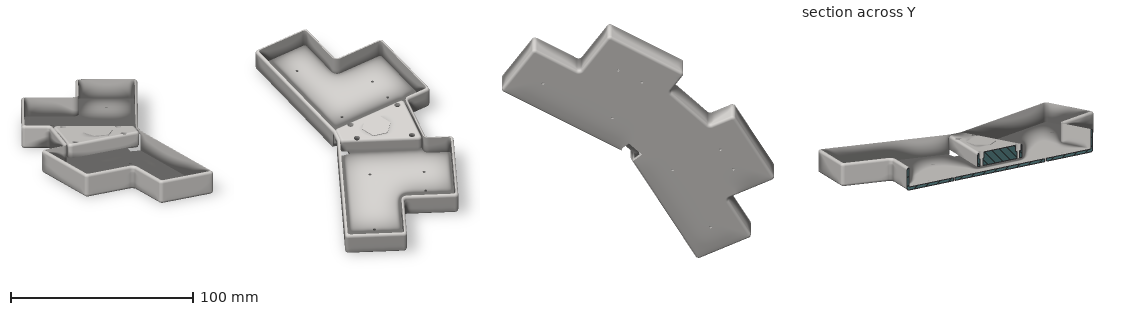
import cadquery as cq
import math

OVERALL_LENGTH = 176.3

WING_ANGLE = 15.0
TRAY_HEIGHT = 13.0
WALL = 1.5
FLOOR = 2.0
EDGE_ROUND = 1.48
CORNER_ROUND = 2.0
CAVITY_CORNER_ROUND = 1.5

WING_STEP = -57.8
WING_NEAR_END = -8.6
WING_BACK = 19.0
WING_SHELF = -15.0
WING_FRONT = -45.0

CENTRE_BACK = 20.6
CENTRE_FRONT = -26.6

FLOOR_HOLE_DIAMETER = 1.6
FLOOR_HOLES = [(-70.9, 2.0), (-25.9, 2.0), (-40.9, -27.9), (-25.5, -27.9)]

OPENING_WIDTH = 10.5
OPENING_TOP = 11.1
OPENING_REACH = 5.3

LID_BACK_GAP = 0.09
LID_FRONT_GAP = 0.7
LID_DEPTH = 8.0
LID_SCREW_DIAMETER = 1.6
LID_HEAD_DIAMETER = 3.3
LID_HEAD_DEPTH = 3.5
LID_BACK_SCREW = (5.6, 9.9)
LID_FRONT_SCREW = (12.9, -19.5)

BADGE_SIDES = 6
BADGE_FLATS = 14.3
BADGE_HEIGHT = 0.48
BADGE_Y = -3.2

MATCH_TOLERANCE = 0.02

COS = math.cos(math.radians(WING_ANGLE))
SIN = math.sin(math.radians(WING_ANGLE))

WING_FAR_END = -(OVERALL_LENGTH / 2 + WING_SHELF * SIN + CORNER_ROUND * (COS + SIN - 1)) / COS


def wing_point(along, across):
    """Left-wing coordinates turned into X, Y."""
    return (along * COS + across * SIN, across * COS - along * SIN)


def on_wing_end(along, y):
    """Point at the given Y on the line where the wing coordinate "along" is constant."""
    return ((along + y * SIN) / COS, y)


def on_wing_back(across, y):
    """Point at the given Y on the line where the wing coordinate "across" is constant."""
    return ((across - y * COS) / SIN, y)


def with_mirror(points):
    """Left-hand points followed by their mirror images, as one closed outline."""
    return points + [(-x, y) for x, y in reversed(points)]


def tray_outline(inset):
    """Tray plan with sharp corners, every side moved inwards by inset."""
    left = [
        on_wing_back(WING_BACK - inset, CENTRE_BACK - inset),
        wing_point(WING_FAR_END + inset, WING_BACK - inset),
        wing_point(WING_FAR_END + inset, WING_SHELF + inset),
        wing_point(WING_STEP + inset, WING_SHELF + inset),
        wing_point(WING_STEP + inset, WING_FRONT + inset),
        wing_point(WING_NEAR_END - inset, WING_FRONT + inset),
        on_wing_end(WING_NEAR_END - inset, CENTRE_FRONT + inset),
    ]
    return with_mirror(left)


def convex_points(inset):
    """Outward corners of the left half of the tray plan."""
    corners = tray_outline(inset)
    return [corners[1], corners[2], corners[4], corners[5]]


def elbow_points(inset):
    """Re-entrant corners of the left half of the tray plan."""
    corners = tray_outline(inset)
    return [corners[3], corners[6]]


def upright_edges_at(body, points):
    """Upright edges of a prism standing on the given plan points, on both sides of X = 0."""
    wanted = [(side * x, y) for x, y in points for side in (-1, 1)]
    edges = [
        edge
        for edge in body.edges("|Z").vals()
        if any(
            math.dist((edge.Center().x, edge.Center().y), point) < MATCH_TOLERANCE
            for point in wanted
        )
    ]
    return body.newObject(edges)


def make_tray_block():
    """Solid outer shape of the tray, with all its outer roundings."""
    block = cq.Workplane("XY").polyline(tray_outline(0)).close().extrude(TRAY_HEIGHT)
    block = upright_edges_at(block, convex_points(0)).fillet(CORNER_ROUND)
    block = upright_edges_at(block, elbow_points(0)).fillet(CORNER_ROUND)
    return block.faces("<Z or >Z").edges().fillet(EDGE_ROUND)


def make_cavity():
    """Space inside the tray walls, above the floor."""
    cavity = (
        cq.Workplane("XY")
        .workplane(offset=FLOOR)
        .polyline(tray_outline(WALL))
        .close()
        .extrude(TRAY_HEIGHT)
    )
    cavity = upright_edges_at(cavity, elbow_points(WALL)).fillet(CORNER_ROUND + WALL)
    return upright_edges_at(cavity, convex_points(WALL)).fillet(CAVITY_CORNER_ROUND)


def make_floor_holes():
    left_holes = [wing_point(along, across) for along, across in FLOOR_HOLES]
    return (
        cq.Workplane("XY")
        .pushPoints(with_mirror(left_holes))
        .circle(FLOOR_HOLE_DIAMETER / 2)
        .extrude(TRAY_HEIGHT)
    )


def make_cable_opening():
    length = WALL + OPENING_REACH
    opening = cq.Workplane("XY").box(
        OPENING_WIDTH, length, OPENING_TOP, centered=(True, False, False)
    )
    return opening.translate((0, CENTRE_BACK - length, 0))


def make_tray():
    tray = make_tray_block().cut(make_cavity())
    return tray.cut(make_floor_holes()).cut(make_cable_opening())


def make_badge():
    corner_radius = BADGE_FLATS / 2 / math.cos(math.pi / BADGE_SIDES)
    turns = [2 * math.pi * i / BADGE_SIDES for i in range(BADGE_SIDES)]
    corners = [
        (corner_radius * math.sin(turn), BADGE_Y + corner_radius * math.cos(turn))
        for turn in turns
    ]
    return (
        cq.Workplane("XY")
        .workplane(offset=TRAY_HEIGHT)
        .polyline(corners)
        .close()
        .extrude(BADGE_HEIGHT)
    )


def make_lid():
    side = WING_NEAR_END - WALL
    left = [
        on_wing_end(side, CENTRE_FRONT + WALL + LID_FRONT_GAP),
        on_wing_end(side, CENTRE_BACK - WALL - LID_BACK_GAP),
    ]
    lid = (
        cq.Workplane("XY")
        .workplane(offset=TRAY_HEIGHT - LID_DEPTH)
        .polyline(with_mirror(left))
        .close()
        .extrude(LID_DEPTH)
        .edges("|Z")
        .fillet(CORNER_ROUND)
        .faces(">Z")
        .edges()
        .fillet(EDGE_ROUND)
    )
    lid = (
        lid.faces(">Z")
        .workplane(origin=(0, 0, TRAY_HEIGHT))
        .pushPoints(with_mirror([LID_BACK_SCREW, LID_FRONT_SCREW]))
        .cboreHole(LID_SCREW_DIAMETER, LID_HEAD_DIAMETER, LID_HEAD_DEPTH)
    )
    return lid.union(make_badge())


tray = make_tray()
lid = make_lid()

result = cq.Compound.makeCompound([*tray.solids().vals(), *lid.solids().vals()])